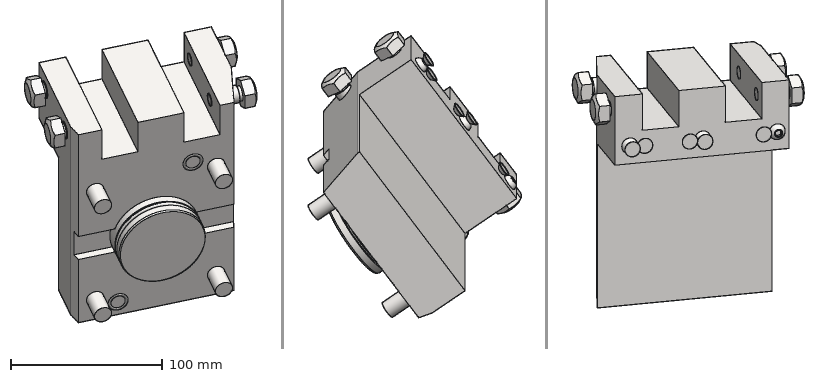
import cadquery as cq
import math


corner_to_flat = 1 / math.cos(math.radians(30.0))

mount_x = 0.0
body_length = 78.0
slab_thickness = 36.0
body_width = 119.75
body_height = 163.5
head_height = 48.25
spigot_above_bottom = 65.0
y_max = 63.75
bottom_z = -spigot_above_bottom
top_z = bottom_z + body_height
front_x = mount_x - body_length
y_min = y_max - body_width

side_slope = math.tan(math.radians(15.0))
large_bevel_length = 34.5
small_bevel_length = 9.25

slot_width = 25.0
slot_depth = 25.5
outer_wall = 19.0
center_rib_width = 32.0
slot_pitch = center_rib_width + slot_width
upper_slot_y = y_max - outer_wall - slot_width / 2
slot_ys = (upper_slot_y, upper_slot_y - slot_pitch)
slot_floor_z = top_z - slot_depth

key_width = 20.0
key_depth = 5.5

spigot_radius = 30.0
spigot_length = 15.5
groove_start = 5.2
groove_width = 4.2
groove_depth = 2.7
spigot_ring_section = 2.9
spigot_chamfer_length = 1.2
spigot_chamfer_depth = 0.6

stud_radius = 6.0
stud_length = 17.25
stud_y = 42.0
stud_z = 47.0

port_y = 26.0
port_z = 54.0
port_ring_outer_radius = 7.2
port_ring_section = 2.5
port_ring_protrusion = 0.5

bolt_flats = 19.0
bolt_head_height = 9.25
bolt_neck_length = 2.25
bolt_standout = 0.6
bolt_neck_radius = 5.2
bolt_shank_radius = 6.0
bolt_shank_length = 18.0
bolt_tip_radius = 4.35
bolt_tip_end = 19.5
bolt_face_radius = 7.1
bolt_bevel_slope = math.tan(math.radians(30.0))
bolt_spacing = 43.0
bolt_front_inset = 13.25
bolt_z = top_z - slot_depth / 2
bolt_xs = (front_x + bolt_front_inset, front_x + bolt_front_inset + bolt_spacing)

screw_z = top_z - 35.6
screw_embed = 5.0
button_radius = 5.5
button_height = 3.4
button_flat_radius = 2.8
socket_flats = 4.0
socket_depth = 2.0
flare_radius = 5.25
flare_rim = 0.4
flare_stem_radius = 2.6
flare_outer_reach = 7.25
flare_middle_reach = 6.4
plug_reach = 3.0
button_ys = (53.5, 3.4, -47.8)
plug_ys = (43.75, 12.9, -37.85)


def make_body():
    side = (
        cq.Workplane("XZ", origin=(0, y_max, 0))
        .moveTo(mount_x, bottom_z)
        .lineTo(mount_x, top_z)
        .lineTo(front_x, top_z)
        .lineTo(front_x, top_z - head_height)
        .lineTo(mount_x - slab_thickness, top_z - head_height)
        .lineTo(mount_x - slab_thickness, bottom_z)
        .close()
        .extrude(body_width)
    )
    plan = (
        cq.Workplane("XY", origin=(0, 0, bottom_z))
        .moveTo(front_x, y_min)
        .lineTo(mount_x - small_bevel_length, y_min)
        .lineTo(mount_x, y_min + small_bevel_length * side_slope)
        .lineTo(mount_x, y_max - large_bevel_length * side_slope)
        .lineTo(mount_x - large_bevel_length, y_max)
        .lineTo(front_x, y_max)
        .close()
        .extrude(body_height)
    )
    return side.intersect(plan)


def make_slots():
    return (
        cq.Workplane("XY", origin=(front_x + body_length / 2, 0, slot_floor_z))
        .pushPoints([(0, y) for y in slot_ys])
        .rect(body_length, slot_width)
        .extrude(slot_depth)
    )


def make_keyway():
    return (
        cq.Workplane("YZ", origin=(mount_x - key_depth, y_max - body_width / 2, 0))
        .rect(body_width, key_width)
        .extrude(key_depth)
    )


def make_ring(outer_radius, section, center_x):
    """Torus around the X axis, given its outer radius and section diameter."""
    return (
        cq.Workplane("XY")
        .center(center_x, outer_radius - section / 2)
        .circle(section / 2)
        .revolve(360, (0, section / 2 - outer_radius), (1, section / 2 - outer_radius))
    )


def make_spigot():
    groove_end = groove_start + groove_width
    end_x = mount_x + spigot_length
    profile = (
        cq.Workplane("XY")
        .moveTo(mount_x - key_depth, 0)
        .lineTo(mount_x - key_depth, spigot_radius)
        .lineTo(groove_start, spigot_radius)
        .lineTo(groove_start, spigot_radius - groove_depth)
        .lineTo(groove_end, spigot_radius - groove_depth)
        .lineTo(groove_end, spigot_radius)
        .lineTo(end_x - spigot_chamfer_length, spigot_radius)
        .lineTo(end_x, spigot_radius - spigot_chamfer_depth)
        .lineTo(end_x, 0)
        .close()
    )
    spigot = profile.revolve(360, (0, 0), (1, 0))
    ring_x = groove_start + spigot_ring_section / 2
    return spigot.union(make_ring(spigot_radius, spigot_ring_section, ring_x))


def make_studs():
    return (
        cq.Workplane("YZ", origin=(mount_x - key_depth, 0, 0))
        .rect(2 * stud_y, 2 * stud_z, forConstruction=True)
        .vertices()
        .circle(stud_radius)
        .extrude(key_depth + stud_length)
    )


def make_port_rings():
    ring_x = mount_x + port_ring_protrusion - port_ring_section / 2
    ring = make_ring(port_ring_outer_radius, port_ring_section, ring_x)
    upper = ring.translate((0, port_y, port_z))
    lower = ring.translate((0, -port_y, -port_z))
    return upper.union(lower)


def make_bolt():
    """Hexagon bolt along +Z whose neck meets the shank at Z = 0."""
    head_top = bolt_neck_length + bolt_head_height
    corner_diameter = bolt_flats * corner_to_flat
    bevel_radius = corner_diameter
    bevel_drop = (bevel_radius - bolt_face_radius) * bolt_bevel_slope
    head = (
        cq.Workplane("XY", origin=(0, 0, bolt_neck_length))
        .polygon(6, corner_diameter)
        .extrude(bolt_head_height)
    )
    bevel_cone = (
        cq.Workplane("XZ")
        .moveTo(0, 0)
        .lineTo(bevel_radius, 0)
        .lineTo(bevel_radius, head_top - bevel_drop)
        .lineTo(bolt_face_radius, head_top)
        .lineTo(0, head_top)
        .close()
        .revolve(360, (0, 0), (0, 1))
    )
    neck = cq.Workplane("XY").circle(bolt_neck_radius).extrude(bolt_neck_length)
    shank = cq.Workplane("XY").circle(bolt_shank_radius).extrude(-bolt_shank_length)
    tip = cq.Workplane("XY").circle(bolt_tip_radius).extrude(-bolt_tip_end)
    bolt = head.intersect(bevel_cone).union(neck).union(shank).union(tip)
    half_hexagon_step = 30
    return bolt.rotate((0, 0, 0), (0, 0, 1), half_hexagon_step)


def make_bolts():
    bolt = make_bolt()
    left = bolt.rotate((0, 0, 0), (1, 0, 0), 90)
    right = bolt.rotate((0, 0, 0), (1, 0, 0), -90)
    bolts = cq.Workplane("XY")
    for x in bolt_xs:
        bolts = bolts.add(left.translate((x, y_min - bolt_standout, bolt_z)))
        bolts = bolts.add(right.translate((x, y_max, bolt_z)))
    return bolts.combine()


def make_button_head(y):
    """Domed screw head on the front face, with a hexagon socket."""
    mid_x = front_x - 0.6 * button_height
    mid_radius = 0.84 * button_radius
    face_x = front_x - button_height
    head = (
        cq.Workplane("XY")
        .moveTo(front_x, 0)
        .lineTo(front_x, button_radius)
        .threePointArc((mid_x, mid_radius), (face_x, button_flat_radius))
        .lineTo(face_x, 0)
        .close()
        .revolve(360, (0, 0), (1, 0))
    )
    socket = (
        cq.Workplane("YZ", origin=(face_x, 0, 0))
        .polygon(6, socket_flats * corner_to_flat)
        .extrude(socket_depth)
        .rotate((0, 0, 0), (1, 0, 0), 90)
    )
    return head.cut(socket).translate((0, y, screw_z))


def make_flared_screw(y, reach):
    """Countersunk screw standing out of the front face with its wide end outward."""
    end_x = front_x - reach
    rim_x = end_x + flare_rim
    neck_x = rim_x + flare_radius - flare_stem_radius
    return (
        cq.Workplane("XY")
        .moveTo(end_x, 0)
        .lineTo(end_x, flare_radius)
        .lineTo(rim_x, flare_radius)
        .lineTo(neck_x, flare_stem_radius)
        .lineTo(front_x + screw_embed, flare_stem_radius)
        .lineTo(front_x + screw_embed, 0)
        .close()
        .revolve(360, (0, 0), (1, 0))
        .translate((0, y, screw_z))
    )


body = make_body().cut(make_slots()).cut(make_keyway())
body = body.union(make_spigot()).union(make_studs()).union(make_port_rings())
body = body.union(make_bolts())

for y in button_ys:
    body = body.union(make_button_head(y))
body = body.union(make_flared_screw(button_ys[0], flare_outer_reach))
body = body.union(make_flared_screw(button_ys[1], flare_middle_reach))
for y in plug_ys:
    body = body.union(make_flared_screw(y, plug_reach))

result = body